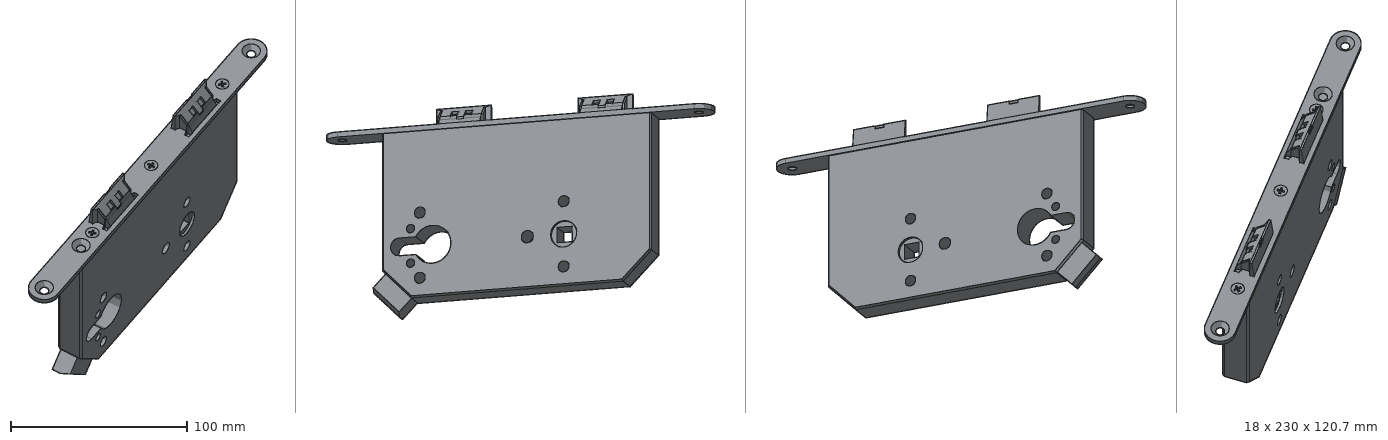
import cadquery as cq
import math


plate_length = 230.0
plate_width = 18.0
plate_thickness = 3.0
plate_hole_diameter = 5.0
countersink_diameter = 10.4
countersink_angle = 90.0
end_hole_y = 106.0
lower_hole_y = -68.3

screw_places = [(76.4, 45.0), (3.5, 0.0), (-56.8, 20.0)]
screw_diameter = 7.5
cross_span = 4.1
cross_arm_width = 1.0
cross_depth = 1.4

case_width = 16.0
case_length = 160.0
case_bottom_z = -100.0
corner_cut = 17.0
rim_inset_x = 1.4
rim_inset_edge = 1.0

axis_z = -70.0
hub_y = 28.0
hub_recess_diameter = 15.5
hub_recess_depth = 1.5
hub_square = 9.0
hub_side_hole_y = 6.5
hub_side_hole_diameter = 7.1
fixing_hole_offset = 19.0
fixing_hole_diameter = 6.5
cylinder_y = -50.1
cylinder_diameter = 22.0
cylinder_slot_width = 10.4
cylinder_slot_end_y = -69.7
cylinder_fixing_y = -57.5
pin_hole_y = -63.0
pin_hole_offset = 10.1
pin_hole_diameter = 4.8

bolt_width = 21.8
bolt_length = 12.9
bolt_shift = 0.58
bolt_left_x = rim_inset_x - case_width / 2
bolt_right_x = 4.5
bolt_bevel_x = -1.2
bolt_bevel_drop = 2.3

latch_centers_y = [49.2, -35.0]
latch_length = 32.5
latch_height = 12.0
latch_half_width = 6.0
tip_left_x = -4.5
tip_right_x = -3.5
slope_end_x = 2.8
toe_start_x = 3.7
toe_top_z = 3.7
web_end_x = 4.0
web_width = 4.1
end_notch_depth = 2.8
end_notch_outer_x = -3.5
end_notch_inner_x = -2.0
tongue_inner_x = 2.3
tongue_outer_x = 3.2
ledge_width = 1.2
ledge_drop = 0.5
pocket_start_x = -0.5
pocket_length_y = 4.1
pocket_depth = 1.8
tip_notch_width = 5.5
tip_notch_floor_z = 10.1
tip_notch_depth = 0.5

latch_half_length = latch_length / 2
notch_floor_y = latch_half_length - end_notch_depth
toe_end_y = notch_floor_y - ledge_width
tip_sum = tip_right_x + latch_height


def mirrored_outline(points):
    """Close a half outline (y > 0) with its mirror image at y < 0."""
    return points + [(x, -y) for x, y in reversed(points)]


def bar_along_x(sketch, start_x, end_x):
    """Extrude a sketch on the YZ plane from start_x to end_x."""
    return sketch.extrude(end_x - start_x).translate((start_x, 0, 0))


def through_holes(points, diameter):
    """Cylinders along X through the whole case at (Y, Z) points."""
    sketch = cq.Workplane("YZ").pushPoints(points).circle(diameter / 2)
    return bar_along_x(sketch, -case_width, case_width)



def case_profile(inset):
    """Case outline in (Y, Z), inset at its sides, cut corners and bottom."""
    side = case_length / 2 - inset
    bottom = case_bottom_z + inset
    cut = corner_cut - inset * (2 - math.sqrt(2))
    return [
        (side, -plate_thickness),
        (side, bottom + cut),
        (side - cut, bottom),
        (cut - side, bottom),
        (-side, bottom + cut),
        (-side, -plate_thickness),
    ]


def case_layer(start_inset, end_inset, start_x, end_x):
    """Loft the case outline between two insets along X."""
    return (
        cq.Workplane("YZ", origin=(start_x, 0, 0))
        .polyline(case_profile(start_inset)).close()
        .workplane(offset=end_x - start_x)
        .polyline(case_profile(end_inset)).close()
        .loft(ruled=True)
    )


def make_case_shell():
    """Solid case block with bevelled rims on both large faces."""
    face_x = case_width / 2
    rim_x = face_x - rim_inset_x
    shell = case_layer(0, 0, -rim_x, rim_x)
    shell = shell.union(case_layer(rim_inset_edge, 0, -face_x, -rim_x))
    return shell.union(case_layer(0, rim_inset_edge, rim_x, face_x))


def make_case_holes():
    """Hub, fixing and key cylinder openings, all along X."""
    fixing_z = [axis_z - fixing_hole_offset, axis_z + fixing_hole_offset]
    fixing_points = [(y, z) for y in (hub_y, cylinder_fixing_y) for z in fixing_z]
    pin_points = [(pin_hole_y, axis_z - pin_hole_offset), (pin_hole_y, axis_z + pin_hole_offset)]

    holes = through_holes(fixing_points, fixing_hole_diameter)
    holes = holes.union(through_holes(pin_points, pin_hole_diameter))
    holes = holes.union(through_holes([(hub_side_hole_y, axis_z)], hub_side_hole_diameter))

    square = cq.Workplane("YZ").center(hub_y, axis_z).rect(hub_square, hub_square)
    holes = holes.union(bar_along_x(square, -case_width, case_width))
    recess = cq.Workplane("YZ").center(hub_y, axis_z).circle(hub_recess_diameter / 2)
    face_x = case_width / 2
    holes = holes.union(bar_along_x(recess, -face_x, hub_recess_depth - face_x))
    recess = cq.Workplane("YZ").center(hub_y, axis_z).circle(hub_recess_diameter / 2)
    holes = holes.union(bar_along_x(recess, face_x - hub_recess_depth, face_x))

    holes = holes.union(through_holes([(cylinder_y, axis_z)], cylinder_diameter))
    holes = holes.union(through_holes([(cylinder_slot_end_y, axis_z)], cylinder_slot_width))
    slot_length = cylinder_y - cylinder_slot_end_y
    slot = (
        cq.Workplane("YZ")
        .center(cylinder_y - slot_length / 2, axis_z)
        .rect(slot_length, cylinder_slot_width)
    )
    return holes.union(bar_along_x(slot, -case_width, case_width))


def make_corner_bolt():
    """Bolt with a bevelled end, square to the cut corner it leaves."""
    outline = [
        (bolt_left_x, 0),
        (bolt_left_x, -bolt_length),
        (bolt_bevel_x, -bolt_length),
        (bolt_right_x, bolt_bevel_drop - bolt_length),
        (bolt_right_x, 0),
    ]
    corner_middle = (0, (corner_cut - case_length) / 2, case_bottom_z + corner_cut / 2)
    return (
        cq.Workplane("XZ")
        .polyline(outline).close()
        .extrude(bolt_width / 2, both=True)
        .translate((0, bolt_shift, 0))
        .rotate((0, 0, 0), (1, 0, 0), -45)
        .translate(corner_middle)
    )



def latch_prism(points, width):
    """Extrude an (X, Z) outline symmetrically about y = 0."""
    return cq.Workplane("XZ").polyline(points).close().extrude(width / 2, both=True)


def make_latch():
    """Wedge latch centred on y = 0, rising from the case through the faceplate."""
    slope_end_z = tip_sum - slope_end_x
    wedge = latch_prism([
        (-latch_half_width, -plate_thickness),
        (-latch_half_width, 0),
        (tip_left_x, latch_height),
        (tip_right_x, latch_height),
        (slope_end_x, slope_end_z),
        (toe_start_x, toe_top_z),
        (latch_half_width, 0),
        (latch_half_width, -plate_thickness),
    ], latch_length)

    plan = mirrored_outline([
        (-latch_half_width, latch_half_length),
        (end_notch_outer_x, latch_half_length),
        (end_notch_inner_x, notch_floor_y),
        (slope_end_x, notch_floor_y),
        (slope_end_x, toe_end_y),
        (latch_half_width, toe_end_y),
    ])
    plan_block = (
        cq.Workplane("XY", origin=(0, 0, -plate_thickness))
        .polyline(plan).close()
        .extrude(plate_thickness + latch_height)
    )
    latch = wedge.intersect(plan_block)

    ledge = latch_prism([
        (end_notch_inner_x, tip_sum - end_notch_inner_x),
        (slope_end_x, slope_end_z),
        (slope_end_x, slope_end_z - ledge_drop),
        (end_notch_inner_x, tip_sum - end_notch_inner_x - ledge_drop),
    ], ledge_width)
    ledge_y = toe_end_y + ledge_width / 2
    for side in (-1, 1):
        latch = latch.cut(ledge.translate((0, side * ledge_y, 0)))

    sink = pocket_depth / math.sqrt(2)
    pocket = latch_prism([
        (pocket_start_x, tip_sum - pocket_start_x),
        (slope_end_x, slope_end_z),
        (slope_end_x - sink, slope_end_z - sink),
        (pocket_start_x - sink, tip_sum - pocket_start_x - sink),
    ], pocket_length_y)
    pocket_y = (web_width + pocket_length_y) / 2
    for side in (-1, 1):
        latch = latch.cut(pocket.translate((0, side * pocket_y, 0)))

    web = latch_prism([
        (slope_end_x, -plate_thickness),
        (slope_end_x, slope_end_z),
        (web_end_x, tip_sum - web_end_x),
        (web_end_x, -plate_thickness),
    ], web_width)
    latch = latch.union(web)

    tip_notch = (
        cq.Workplane("XY", origin=(0, 0, tip_notch_floor_z))
        .rect(2 * (tip_notch_depth - tip_left_x), tip_notch_width)
        .extrude(latch_height - tip_notch_floor_z)
        .translate((2 * tip_left_x, 0, 0))
    )
    return latch.cut(tip_notch)


def make_lock_case():
    """Case, corner bolt and latches as one solid."""
    lock = make_case_shell().union(make_corner_bolt()).cut(make_case_holes())
    latch = make_latch()
    for y in latch_centers_y:
        lock = lock.union(latch.translate((0, y, 0)))
    return lock



def make_latch_slot():
    """Slot for a latch, with a tapered tongue of plate at each end."""
    outline = mirrored_outline([
        (-latch_half_width, latch_half_length),
        (end_notch_outer_x, latch_half_length),
        (end_notch_inner_x, notch_floor_y),
        (tongue_inner_x, notch_floor_y),
        (tongue_outer_x, latch_half_length),
        (latch_half_width, latch_half_length),
    ])
    return cq.Workplane("XY").polyline(outline).close().extrude(-plate_thickness)


def make_faceplate():
    """Round-ended plate with countersunk holes, screw holes and latch slots."""
    plate = (
        cq.Workplane("XY")
        .slot2D(plate_length, plate_width, 90)
        .extrude(-plate_thickness)
    )
    slot = make_latch_slot()
    for y in latch_centers_y:
        plate = plate.cut(slot.translate((0, y, 0)))
    top = cq.Workplane("XY")
    screw_points = [(0, y) for y, _ in screw_places]
    plate = plate.cut(top.pushPoints(screw_points).circle(screw_diameter / 2).extrude(-plate_thickness))
    hole_points = [(0, end_hole_y), (0, lower_hole_y), (0, -end_hole_y)]
    return (
        plate.faces(">Z").workplane(origin=(0, 0, 0))
        .pushPoints(hole_points)
        .cskHole(plate_hole_diameter, countersink_diameter, countersink_angle)
    )



def make_screw(y, angle):
    """Flush screw head that fills its plate hole, with a cross recess."""
    head = cq.Workplane("XY").circle(screw_diameter / 2).extrude(-plate_thickness)
    arm = cq.Workplane("XY").rect(cross_span, cross_arm_width).extrude(-cross_depth)
    head = head.cut(arm).cut(arm.rotate((0, 0, 0), (0, 0, 1), 90))
    return head.rotate((0, 0, 0), (0, 0, 1), angle).translate((0, y, 0))


lock_case = make_lock_case()
faceplate = make_faceplate()
screws = [make_screw(y, angle) for y, angle in screw_places]

result = cq.Compound.makeCompound([
    lock_case.solids().val(),
    faceplate.solids().val(),
    *[screw.solids().val() for screw in screws],
])